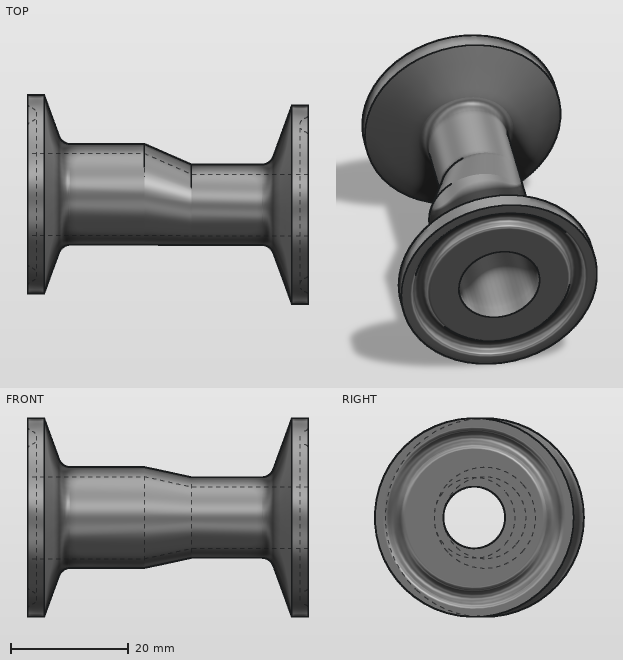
import cadquery as cq
import math

length = 48.0
flange_diameter = 34.0
rim_width = 2.85
axis_offset = 1.8

large_outer, large_bore = 17.3, 14.0
small_outer, small_bore = 13.8, 10.5
taper_start, taper_end = 19.95, 28.0

flank_angle = math.radians(70)
neck_radius = 2.0

groove_center_radius = 13.7
groove_root_radius = 1.2
groove_edge_radius = 0.75
groove_flank_length = 0.25


def arc_points(center, radius, start, end):
    """Middle and end points of an arc given by its center and angles."""
    return [
        (center[0] + radius * math.cos(a), center[1] + radius * math.sin(a))
        for a in ((start + end) / 2, end)
    ]


def revolve_about_x(profile):
    return profile.close().revolve(360, (0, 0, 0), (1, 0, 0))


def ferrule(tube_outer, tube_length):
    """Solid ferrule and tube, with the sealing face at X = 0."""
    tube_radius = tube_outer / 2
    flange_radius = flange_diameter / 2
    neck_top = tube_radius + neck_radius * (1 - math.cos(flank_angle))
    cone_end = rim_width + (flange_radius - neck_top) / math.tan(flank_angle)
    neck_center = (cone_end + neck_radius * math.sin(flank_angle), tube_radius + neck_radius)
    neck_mid, neck_end = arc_points(
        neck_center, neck_radius, -math.pi / 2 - flank_angle, -math.pi / 2
    )
    profile = (
        cq.Workplane("XY")
        .lineTo(0, flange_radius)
        .lineTo(rim_width, flange_radius)
        .lineTo(cone_end, neck_top)
        .threePointArc(neck_mid, neck_end)
        .lineTo(tube_length, tube_radius)
        .lineTo(tube_length, 0)
    )
    return revolve_about_x(profile).cut(gasket_groove())


def gasket_groove():
    """Ring cutter: round root, short straight flanks and rounded edges."""
    flank_run = groove_flank_length * math.sin(flank_angle)
    flank_rise = groove_flank_length * math.cos(flank_angle)
    radii_sum = groove_root_radius + groove_edge_radius
    half_width = radii_sum * math.sin(flank_angle) + flank_rise
    root_center_x = groove_edge_radius + flank_run - radii_sum * math.cos(flank_angle)
    inner_edge = groove_center_radius - half_width
    outer_edge = groove_center_radius + half_width

    inner_mid, inner_end = arc_points(
        (groove_edge_radius, inner_edge), groove_edge_radius, math.pi, math.pi - flank_angle
    )
    root_start = (inner_end[0] + flank_run, inner_end[1] + flank_rise)
    root_mid, root_end = arc_points(
        (root_center_x, groove_center_radius), groove_root_radius, -flank_angle, flank_angle
    )
    outer_start = (root_end[0] - flank_run, root_end[1] + flank_rise)
    outer_mid, outer_end = arc_points(
        (groove_edge_radius, outer_edge), groove_edge_radius, math.pi + flank_angle, math.pi
    )
    profile = (
        cq.Workplane("XY")
        .moveTo(0, inner_edge)
        .threePointArc(inner_mid, inner_end)
        .lineTo(*root_start)
        .threePointArc(root_mid, root_end)
        .lineTo(*outer_start)
        .threePointArc(outer_mid, outer_end)
    )
    return revolve_about_x(profile)


def eccentric_taper(large_diameter, small_diameter):
    """Oblique cone joining the two tube axes."""
    return (
        cq.Workplane("YZ", origin=(taper_start, 0, 0))
        .circle(large_diameter / 2)
        .workplane(offset=taper_end - taper_start)
        .center(-axis_offset, 0)
        .circle(small_diameter / 2)
        .loft(ruled=True)
    )


def bore():
    large = cq.Workplane("YZ").circle(large_bore / 2).extrude(taper_start)
    small = (
        cq.Workplane("YZ", origin=(taper_end, -axis_offset, 0))
        .circle(small_bore / 2)
        .extrude(length - taper_end)
    )
    return large.union(eccentric_taper(large_bore, small_bore)).union(small)


large_end = ferrule(large_outer, taper_start)
small_end = (
    ferrule(small_outer, length - taper_end)
    .mirror("YZ")
    .translate((length, -axis_offset, 0))
)
body = large_end.union(eccentric_taper(large_outer, small_outer)).union(small_end)
result = body.cut(bore())